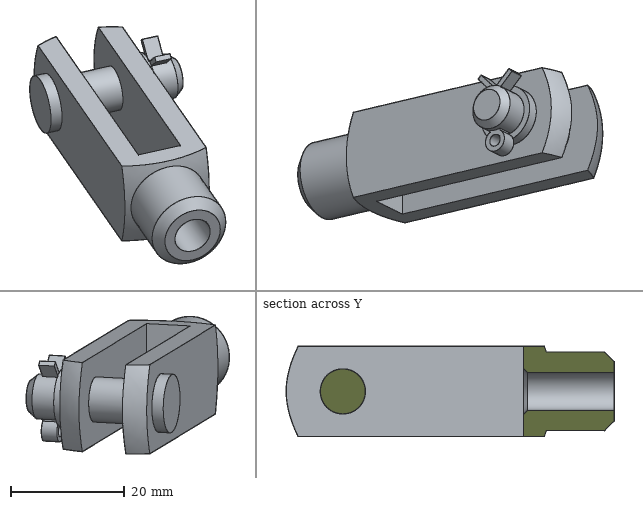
import cadquery as cq
import math

total_length = 58.0
body_width = 16.0
half_width = body_width / 2
corner_radius = half_width * math.sqrt(2)
slot_width = body_width / 2
slot_end_x = 41.95

tip_arc_start = (0.0, slot_width / 2)
tip_arc_middle = (1.6, half_width)
tip_arc_end = (3.6, corner_radius)

shank_radius = 14.0 / 2
shank_start_x = 46.0
shank_chamfer = 1.75
bore_diameter = 6.65
bore_mouth_diameter = 8.0

shoulder_arc_start = (44.15, corner_radius)
shoulder_arc_middle = (45.65, half_width)
shoulder_arc_end = (shank_start_x, shank_radius)

pin_x = 10.05
pin_radius = 8.0 / 2
pin_tip_y = 15.9
pin_chamfer_length = 1.45
pin_chamfer_depth = 1.15
head_radius = 10.4 / 2
head_thickness = 2.1

split_pin_y = 11.9
split_pin_width = 2.9
leg_thickness = 0.9
leg_gap = 0.3
leg_top_z = 6.95
leg_bend_z = 4.1
leg_angle = math.radians(45)
eye_radius = 2.05
eye_bottom_z = -7.95


def make_body():
    """Square bar within a turned envelope, joined to the shank, then slotted, bored and countersunk."""
    bar = cq.Workplane("XY").box(
        total_length, body_width, body_width, centered=(False, True, True)
    )
    envelope = (
        cq.Workplane("XY")
        .moveTo(0, 0)
        .lineTo(*tip_arc_start)
        .threePointArc(tip_arc_middle, tip_arc_end)
        .lineTo(*shoulder_arc_start)
        .threePointArc(shoulder_arc_middle, shoulder_arc_end)
        .lineTo(total_length - shank_chamfer, shank_radius)
        .lineTo(total_length, shank_radius - shank_chamfer)
        .lineTo(total_length, 0)
        .close()
        .revolve(360, (0, 0, 0), (1, 0, 0))
    )
    slot = cq.Workplane("XY").box(
        slot_end_x, slot_width, body_width, centered=(False, True, True)
    )
    bore = cq.Workplane("YZ").circle(bore_diameter / 2).extrude(total_length)
    countersink_depth = (bore_mouth_diameter - bore_diameter) / 2
    countersink = (
        cq.Workplane("XY")
        .moveTo(slot_end_x, 0)
        .lineTo(slot_end_x, bore_mouth_diameter / 2)
        .lineTo(slot_end_x + countersink_depth, bore_diameter / 2)
        .lineTo(slot_end_x + countersink_depth, 0)
        .close()
        .revolve(360, (0, 0, 0), (1, 0, 0))
    )
    return bar.intersect(envelope).cut(slot).cut(bore).cut(countersink)


def make_cross_pin():
    """Head, pin, washer and chamfered tip turned about the pin's own axis."""
    head_y = -half_width - head_thickness
    washer_y = half_width + head_thickness
    return (
        cq.Workplane("XY")
        .moveTo(pin_x, head_y)
        .lineTo(pin_x + head_radius, head_y)
        .lineTo(pin_x + head_radius, -half_width)
        .lineTo(pin_x + pin_radius, -half_width)
        .lineTo(pin_x + pin_radius, half_width)
        .lineTo(pin_x + head_radius, half_width)
        .lineTo(pin_x + head_radius, washer_y)
        .lineTo(pin_x + pin_radius, washer_y)
        .lineTo(pin_x + pin_radius, pin_tip_y - pin_chamfer_length)
        .lineTo(pin_x + pin_radius - pin_chamfer_depth, pin_tip_y)
        .lineTo(pin_x, pin_tip_y)
        .close()
        .revolve(360, (pin_x, 0, 0), (pin_x, 1, 0))
    )


def split_pin_plane():
    """XZ sketch plane centred on the pin axis, at the far face of the split pin."""
    return cq.Workplane("XZ", origin=(pin_x, split_pin_y + split_pin_width / 2, 0))


def make_leg(side):
    """One leg, straight inside the pin and bent outward above it; side is -1 or 1."""
    inner_x = leg_gap / 2
    outer_x = inner_x + leg_thickness
    outer_bend_z = leg_bend_z - leg_thickness * math.tan(leg_angle / 2)
    inner_end_x = inner_x + (leg_top_z - leg_bend_z) * math.tan(leg_angle)
    outer_end_x = inner_end_x + leg_thickness * math.cos(leg_angle)
    outer_end_z = leg_top_z - leg_thickness * math.sin(leg_angle)
    points = [
        (inner_x, 0),
        (inner_x, leg_bend_z),
        (inner_end_x, leg_top_z),
        (outer_end_x, outer_end_z),
        (outer_x, outer_bend_z),
        (outer_x, 0),
    ]
    outline = [(side * x, z) for x, z in points]
    return split_pin_plane().polyline(outline).close().extrude(split_pin_width)


def make_eye():
    """Ring below the pin, with a neck running up into the pin."""
    eye_z = eye_bottom_z + eye_radius
    neck_width = leg_gap + 2 * leg_thickness
    neck_height = -eye_z
    neck = (
        split_pin_plane()
        .center(0, eye_z / 2)
        .rect(neck_width, neck_height)
        .extrude(split_pin_width)
    )
    disc = split_pin_plane().center(0, eye_z).circle(eye_radius).extrude(split_pin_width)
    hole = (
        split_pin_plane()
        .center(0, eye_z)
        .circle(eye_radius - leg_thickness)
        .extrude(split_pin_width)
    )
    return neck.union(disc).cut(hole)


result = make_body().union(make_cross_pin()).union(make_eye())
for leg_side in (-1, 1):
    result = result.union(make_leg(leg_side))